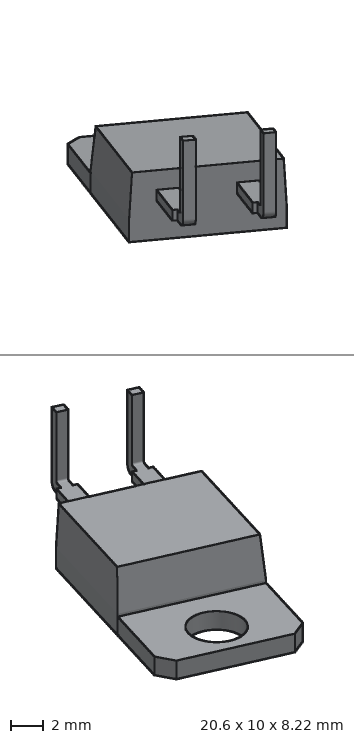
import cadquery as cq

length = 20.6
width = 10.0
height = 8.22

tab_length = 6.4
tab_thickness = 1.32
corner_chamfer = 1.0
hole_diameter = 3.81
hole_x = 2.78

housing_length = 9.08
housing_height = 4.53
base_height = 1.5
front_draft = 0.5
side_draft = 0.19
housing_end = tab_length + housing_length

lead_spacing = 5.09
lead_bottom = 2.55
lead_thickness = 0.7
wide_lead_width = 1.42
wide_lead_length = 3.73
narrow_lead_width = 0.8
bend_inner_radius = 0.15
bend_outer_radius = 0.5
wide_lead_end = housing_end + wide_lead_length


def make_tab():
    """Flat mounting tab with two chamfered corners and a screw hole."""
    plate = (
        cq.Workplane("XY")
        .box(tab_length, width, tab_thickness, centered=(False, True, False))
        .edges("|Z and <X")
        .chamfer(corner_chamfer)
    )
    hole = cq.Workplane("XY").center(hole_x, 0).circle(hole_diameter / 2).extrude(tab_thickness)
    return plate.cut(hole)


def make_housing():
    """Straight base with a block above it that tapers on three sides."""
    base = (
        cq.Workplane("XY")
        .box(housing_length, width, base_height, centered=(False, True, False))
        .translate((tab_length, 0, 0))
    )
    top_length = housing_length - front_draft
    upper_block = (
        cq.Workplane("XY", origin=(housing_end - housing_length / 2, 0, base_height))
        .rect(housing_length, width)
        .workplane(offset=housing_height - base_height)
        .center(front_draft / 2, 0)
        .rect(top_length, width - 2 * side_draft)
        .loft(ruled=True)
    )
    return base.union(upper_block)


def make_lead(y):
    """Wide lead leaving the housing, then a narrow lead bent upward."""
    wide_part = (
        cq.Workplane("XY")
        .box(wide_lead_length, wide_lead_width, lead_thickness, centered=(False, True, False))
        .translate((housing_end, y, lead_bottom))
    )
    lead_top = lead_bottom + lead_thickness
    inner_x = length - lead_thickness
    narrow_part = (
        cq.Workplane("XZ", origin=(0, y, 0))
        .moveTo(wide_lead_end, lead_bottom)
        .lineTo(length - bend_outer_radius, lead_bottom)
        .radiusArc((length, lead_bottom + bend_outer_radius), -bend_outer_radius)
        .lineTo(length, height)
        .lineTo(inner_x, height)
        .lineTo(inner_x, lead_top + bend_inner_radius)
        .radiusArc((inner_x - bend_inner_radius, lead_top), bend_inner_radius)
        .lineTo(wide_lead_end, lead_top)
        .close()
        .extrude(narrow_lead_width / 2, both=True)
    )
    return wide_part.union(narrow_part)


tab = make_tab()
housing = make_housing()
leads = [make_lead(side * lead_spacing / 2) for side in (-1, 1)]

result = cq.Compound.makeCompound([tab.val(), housing.val(), *[lead.val() for lead in leads]])